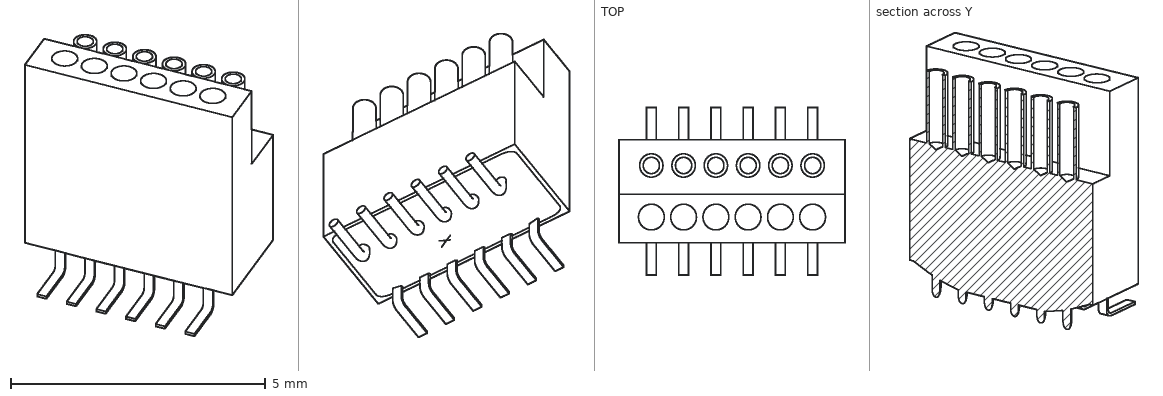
import cadquery as cq
import math


POSITIONS = 6
PITCH = 0.635
ROW_OFFSET = 0.508
LEAD_REACH = 1.65
FOOT_LEVEL = -0.73

BODY_LENGTH = 4.45
BODY_DEPTH = 2.032
BODY_HEIGHT = 4.32
SHOULDER_HEIGHT = 2.55
STEP_Y = -0.055

SOCKET_DIAMETER = 0.508
SOCKET_DEPTH = BODY_HEIGHT - SHOULDER_HEIGHT

PIN_DIAMETER = 0.46
PIN_BORE_DIAMETER = 0.32
PIN_TOP = 4.06
PIN_BORE_DEPTH = PIN_TOP - SHOULDER_HEIGHT
DRILL_POINT_ANGLE = 118.0

DOME_LENGTH = 4.27
DOME_DEPTH = 1.88
DOME_SAG = 0.5
DOME_CORNER_RADIUS = 0.25

FLAT_LEAD_WIDTH = 0.2
FLAT_LEAD_THICKNESS = 0.06
FLAT_LEAD_FACE_Y = -0.75
FLAT_LEAD_INNER_RADIUS = 0.1

ROUND_LEAD_DIAMETER = 0.2
ROUND_LEAD_BEND_RADIUS = 0.225

LEAD_EMBED = 0.3


def lead_positions():
    first = -PITCH * (POSITIONS - 1) / 2
    return [first + i * PITCH for i in range(POSITIONS)]


def row_points(y):
    return [(x, y) for x in lead_positions()]


def make_housing():
    front = -BODY_DEPTH / 2
    back = BODY_DEPTH / 2
    profile = (
        cq.Workplane("YZ")
        .moveTo(front, 0)
        .lineTo(back, 0)
        .lineTo(back, SHOULDER_HEIGHT)
        .lineTo(STEP_Y, SHOULDER_HEIGHT)
        .lineTo(STEP_Y, BODY_HEIGHT)
        .lineTo(front, BODY_HEIGHT)
        .close()
    )
    return profile.extrude(BODY_LENGTH / 2, both=True)


def make_sockets():
    """Blind round holes opening on the top of the tall section."""
    return (
        cq.Workplane("XY", origin=(0, 0, BODY_HEIGHT))
        .pushPoints(row_points(-ROW_OFFSET))
        .circle(SOCKET_DIAMETER / 2)
        .extrude(-SOCKET_DEPTH)
    )


def make_pins():
    return (
        cq.Workplane("XY", origin=(0, 0, SHOULDER_HEIGHT))
        .pushPoints(row_points(ROW_OFFSET))
        .circle(PIN_DIAMETER / 2)
        .extrude(PIN_TOP - SHOULDER_HEIGHT)
    )


def make_pin_bore(x):
    """Drilled bore with a conical end, to be cut from one pin."""
    radius = PIN_BORE_DIAMETER / 2
    cone_base = PIN_TOP - PIN_BORE_DEPTH
    cone_tip = cone_base - radius / math.tan(math.radians(DRILL_POINT_ANGLE / 2))
    bore = (
        cq.Workplane("XZ")
        .moveTo(0, PIN_TOP)
        .lineTo(radius, PIN_TOP)
        .lineTo(radius, cone_base)
        .lineTo(0, cone_tip)
        .close()
        .revolve(360, (0, 0, 0), (0, 1, 0))
    )
    return bore.translate((x, ROW_OFFSET, 0))


def make_arched_prism(plane, span, width):
    """Prism whose section is a shallow arc hanging below Z = 0."""
    return (
        cq.Workplane(plane)
        .moveTo(-span / 2, 0)
        .threePointArc((0, -DOME_SAG), (span / 2, 0))
        .close()
        .extrude(width / 2, both=True)
    )


def make_dome():
    """Cushion curved along both X and Y, with its corners rounded off."""
    along_x = make_arched_prism("XZ", DOME_LENGTH, DOME_DEPTH)
    along_y = make_arched_prism("YZ", DOME_DEPTH, DOME_LENGTH)
    cushion = along_x.intersect(along_y)
    diagonal_creases = cushion.edges("%BSPLINE")
    return diagonal_creases.fillet(DOME_CORNER_RADIUS)


def make_flat_lead(x):
    """Bent strip that leaves the underside and turns towards -Y."""
    outer_radius = FLAT_LEAD_INNER_RADIUS + FLAT_LEAD_THICKNESS
    back_y = FLAT_LEAD_FACE_Y + FLAT_LEAD_THICKNESS
    foot_top = FOOT_LEVEL + FLAT_LEAD_THICKNESS
    bend_y = FLAT_LEAD_FACE_Y - FLAT_LEAD_INNER_RADIUS
    bend_z = foot_top + FLAT_LEAD_INNER_RADIUS
    strip = (
        cq.Workplane("YZ", origin=(x, 0, 0))
        .moveTo(FLAT_LEAD_FACE_Y, LEAD_EMBED)
        .lineTo(FLAT_LEAD_FACE_Y, bend_z)
        .radiusArc((bend_y, foot_top), FLAT_LEAD_INNER_RADIUS)
        .lineTo(-LEAD_REACH, foot_top)
        .lineTo(-LEAD_REACH, FOOT_LEVEL)
        .lineTo(bend_y, FOOT_LEVEL)
        .radiusArc((back_y, bend_z), -outer_radius)
        .lineTo(back_y, LEAD_EMBED)
        .close()
    )
    return strip.extrude(FLAT_LEAD_WIDTH / 2, both=True)


def make_round_lead(x):
    """Bent wire that leaves the underside and turns towards +Y."""
    axis_z = FOOT_LEVEL + ROUND_LEAD_DIAMETER / 2
    bend_y = ROW_OFFSET + ROUND_LEAD_BEND_RADIUS
    bend_z = axis_z + ROUND_LEAD_BEND_RADIUS
    path = (
        cq.Workplane("YZ", origin=(x, 0, 0))
        .moveTo(ROW_OFFSET, LEAD_EMBED)
        .lineTo(ROW_OFFSET, bend_z)
        .radiusArc((bend_y, axis_z), -ROUND_LEAD_BEND_RADIUS)
        .lineTo(LEAD_REACH, axis_z)
    )
    section = cq.Workplane("XY", origin=(x, ROW_OFFSET, LEAD_EMBED)).circle(ROUND_LEAD_DIAMETER / 2)
    return section.sweep(path)


result = make_housing().cut(make_sockets()).union(make_pins()).union(make_dome())
for lead_x in lead_positions():
    result = result.cut(make_pin_bore(lead_x))
    result = result.union(make_flat_lead(lead_x))
    result = result.union(make_round_lead(lead_x))